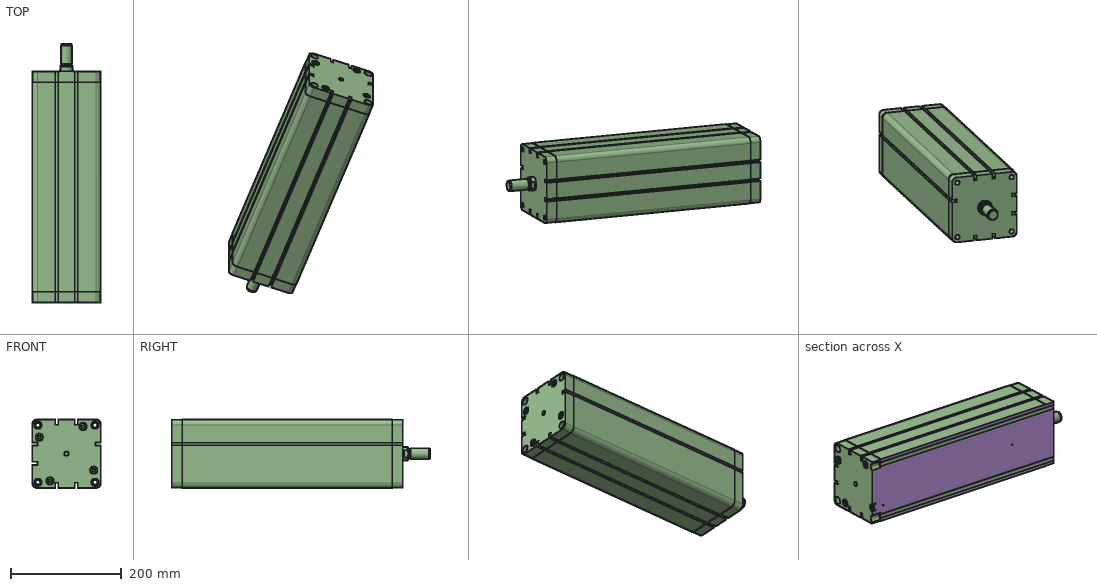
import cadquery as cq
import math

BODY_WIDTH = 124.0
CAP_WIDTH = 123.0
CAP_LENGTH = 19.5
OVERALL_LENGTH = 466.5
ROD_REACH = 49.5
HOUSING_LENGTH = OVERALL_LENGTH - ROD_REACH
BODY_LENGTH = HOUSING_LENGTH - 2 * CAP_LENGTH
CORNER_CENTRE = 52.5

SLOT_WIDTH = 5.2
BODY_SLOT_FLOOR = 52.0
CAP_SLOT_FLOOR = 52.5
SLOT_OFFSET = 17.5

MOUNT_OFFSET = 51.5
MOUNT_BORE = 13.5
MOUNT_BORE_DEPTH = CAP_LENGTH
MOUNT_THROUGH = 8.38

SCREW_COUNT = 4
SCREW_NEAR = 29.8
SCREW_FAR = 49.1
SCREW_POCKET = 13.5
SCREW_HEAD = 12.5
SCREW_POCKET_DEPTH = 8.0
SCREW_HEAD_RECESS = 0.5
SOCKET_ACROSS_FLATS = 5.0
SOCKET_DEPTH = 4.0
SOCKET_ACROSS_CORNERS = SOCKET_ACROSS_FLATS / math.cos(math.pi / 6)

CENTRE_HOLE = 8.0
CENTRE_HOLE_DEPTH = 5.0

ROD_DIAMETER = 25.0
THREAD_DIAMETER = 20.0
NECK_DIAMETER = 17.5
THREAD_LENGTH = 37.0
NECK_LENGTH = 2.75
END_CHAMFER_LENGTH = 3.0
ROOT_CHAMFER_LENGTH = 1.25
SHOULDER_CHAMFER = 1.5
FLATS_ACROSS = 22.0
FLATS_LENGTH = 7.2


def plane_at(y):
    """Sketch plane at the given Y, with local X along +X and extrusion along +Y."""
    return cq.Workplane(cq.Plane(origin=(0, y, 0), xDir=(1, 0, 0), normal=(0, 1, 0)))


def cylinder(diameter, y, length, x=0.0, z=0.0):
    return plane_at(y).center(x, -z).circle(diameter / 2).extrude(length)


def rounded_block(width, y, length):
    corner_radius = width / 2 - CORNER_CENTRE
    return plane_at(y).rect(width, width).extrude(length).edges("|Y").fillet(corner_radius)


def make_housing():
    body = rounded_block(BODY_WIDTH, CAP_LENGTH, BODY_LENGTH)
    front_cap = rounded_block(CAP_WIDTH, 0, CAP_LENGTH)
    rear_cap = rounded_block(CAP_WIDTH, CAP_LENGTH + BODY_LENGTH, CAP_LENGTH)
    return body.union(front_cap).union(rear_cap)


def cut_slots(part, floor, y, length):
    """Slots along one stretch of the housing; floor is the distance from the axis to the slot floor."""
    depth = BODY_WIDTH / 2 - floor
    slot = cq.Workplane("XY").box(SLOT_WIDTH, length, depth)
    top_slot = slot.translate((0, y + length / 2, floor + depth / 2))
    for offset in (-SLOT_OFFSET, SLOT_OFFSET):
        centred_slot = top_slot.translate((offset, 0, 0))
        part = part.cut(centred_slot).cut(centred_slot.mirror("XY"))
    right_slot = top_slot.rotate((0, 0, 0), (0, 1, 0), 90)
    left_slot = right_slot.mirror("YZ")
    part = part.cut(right_slot.translate((0, 0, SLOT_OFFSET)))
    for offset in (-SLOT_OFFSET, SLOT_OFFSET):
        part = part.cut(left_slot.translate((0, 0, offset)))
    return part


def cut_mounting_holes(part):
    for x in (-MOUNT_OFFSET, MOUNT_OFFSET):
        for z in (-MOUNT_OFFSET, MOUNT_OFFSET):
            part = part.cut(cylinder(MOUNT_THROUGH, 0, HOUSING_LENGTH, x, z))
            part = part.cut(cylinder(MOUNT_BORE, 0, MOUNT_BORE_DEPTH, x, z))
    return part


def add_cap_screws(part):
    """Four sunk socket screws, each a quarter turn from the one before."""
    x, z = SCREW_NEAR, SCREW_FAR
    head_length = SCREW_POCKET_DEPTH - SCREW_HEAD_RECESS
    for _ in range(SCREW_COUNT):
        part = part.cut(cylinder(SCREW_POCKET, 0, SCREW_POCKET_DEPTH, x, z))
        part = part.union(cylinder(SCREW_HEAD, SCREW_HEAD_RECESS, head_length, x, z))
        socket = plane_at(SCREW_HEAD_RECESS).center(x, -z)
        socket = socket.polygon(6, SOCKET_ACROSS_CORNERS).extrude(SOCKET_DEPTH)
        part = part.cut(socket)
        x, z = z, -x
    return part


def cut_flats(rod, start):
    """Two wrench flats on the +X and -X sides, running out at 45 degrees towards the housing."""
    flat_radius = FLATS_ACROSS / 2
    outer_radius = ROD_DIAMETER / 2
    end = start + FLATS_LENGTH
    cutter = (
        cq.Workplane("XY", origin=(0, 0, -outer_radius))
        .moveTo(flat_radius, start)
        .lineTo(outer_radius, start - (outer_radius - flat_radius))
        .lineTo(outer_radius, end)
        .lineTo(flat_radius, end)
        .close()
        .extrude(ROD_DIAMETER)
    )
    return rod.cut(cutter).cut(cutter.mirror("YZ"))


def make_rod():
    """Rod revolved about Y: shoulder, undercut neck, then the plain thread cylinder."""
    thread_start = OVERALL_LENGTH - THREAD_LENGTH
    neck_start = thread_start - NECK_LENGTH
    rod_radius = ROD_DIAMETER / 2
    thread_radius = THREAD_DIAMETER / 2
    neck_radius = NECK_DIAMETER / 2
    rod = (
        cq.Workplane("XY")
        .moveTo(0, HOUSING_LENGTH)
        .lineTo(rod_radius, HOUSING_LENGTH)
        .lineTo(rod_radius, neck_start - SHOULDER_CHAMFER)
        .lineTo(rod_radius - SHOULDER_CHAMFER, neck_start)
        .lineTo(neck_radius, neck_start)
        .lineTo(neck_radius, thread_start)
        .lineTo(thread_radius, thread_start + ROOT_CHAMFER_LENGTH)
        .lineTo(thread_radius, OVERALL_LENGTH - END_CHAMFER_LENGTH)
        .lineTo(neck_radius, OVERALL_LENGTH)
        .lineTo(0, OVERALL_LENGTH)
        .close()
        .revolve(360, (0, 0, 0), (0, 1, 0))
    )
    return cut_flats(rod, neck_start - FLATS_LENGTH)


housing = make_housing()
housing = cut_slots(housing, CAP_SLOT_FLOOR, 0, CAP_LENGTH)
housing = cut_slots(housing, BODY_SLOT_FLOOR, CAP_LENGTH, BODY_LENGTH)
housing = cut_slots(housing, CAP_SLOT_FLOOR, CAP_LENGTH + BODY_LENGTH, CAP_LENGTH)
housing = add_cap_screws(cut_mounting_holes(housing))
housing = housing.cut(cylinder(CENTRE_HOLE, 0, CENTRE_HOLE_DEPTH))
result = housing.union(make_rod())